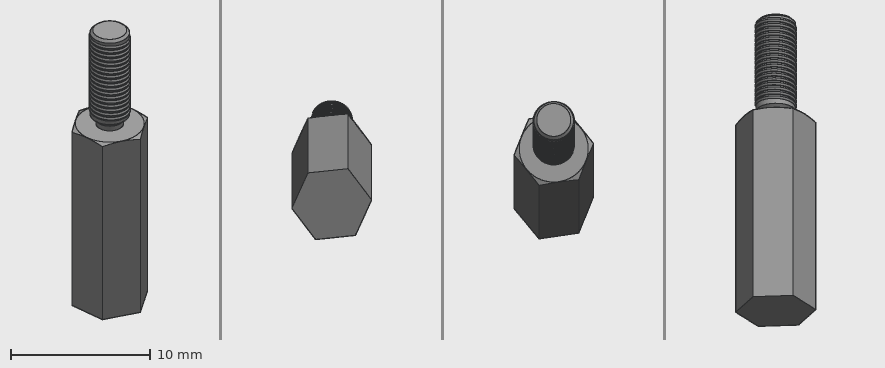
import cadquery as cq
import math

hex_sides = 6
hex_across_flats = 5.0
hex_across_corners = hex_across_flats / math.cos(math.pi / hex_sides)
hex_length = 15.0
hex_face_diameter = 4.95
hex_chamfer_angle = 20.0

stud_length = 8.0
core_radius = 1.42
neck_radius = 1.0
neck_length = 0.4
tip_chamfer = 0.2

thread_pitch = 0.36
thread_turns = 18
thread_crest_radius = 1.5
thread_offset = 1.13
thread_start_z = hex_length + thread_offset
thread_start_angle = 90.0
thread_base_width = 0.98 * thread_pitch
thread_base_depth = 0.01

overall_length = hex_length + stud_length


def hex_body():
    """Hexagonal prism whose upper corners are cut by a cone."""
    corner_radius = hex_across_corners / 2
    face_radius = hex_face_diameter / 2
    chamfer_drop = (corner_radius - face_radius) * math.tan(math.radians(hex_chamfer_angle))
    prism = cq.Workplane("XY").polygon(hex_sides, hex_across_corners).extrude(hex_length)
    envelope = (
        cq.Workplane("XZ")
        .lineTo(corner_radius, 0)
        .lineTo(corner_radius, hex_length - chamfer_drop)
        .lineTo(face_radius, hex_length)
        .lineTo(0, hex_length)
        .close()
        .revolve(360, (0, 0, 0), (0, 1, 0))
    )
    return prism.intersect(envelope)


def stud_core():
    """Round stud with a narrow neck, a 45 degree shoulder and a chamfered tip."""
    neck_top = hex_length + neck_length
    shoulder_top = neck_top + core_radius - neck_radius
    return (
        cq.Workplane("XZ")
        .moveTo(0, hex_length)
        .lineTo(neck_radius, hex_length)
        .lineTo(neck_radius, neck_top)
        .lineTo(core_radius, shoulder_top)
        .lineTo(core_radius, overall_length - tip_chamfer)
        .lineTo(core_radius - tip_chamfer, overall_length)
        .lineTo(0, overall_length)
        .close()
        .revolve(360, (0, 0, 0), (0, 1, 0))
    )


def thread_ridge():
    """Triangular ridge swept along a left-hand helix, its base sunk just below the core surface."""
    base_radius = core_radius - thread_base_depth
    half_base = thread_base_width / 2
    helix_height = thread_turns * thread_pitch
    helix = cq.Wire.makeHelix(thread_pitch, helix_height, core_radius, lefthand=True)
    ridge = (
        cq.Workplane("XZ")
        .moveTo(base_radius, -half_base)
        .lineTo(thread_crest_radius, 0)
        .lineTo(base_radius, half_base)
        .close()
        .sweep(cq.Workplane(helix), isFrenet=True)
    )
    return ridge.rotate((0, 0, 0), (0, 0, 1), thread_start_angle).translate((0, 0, thread_start_z))


body = hex_body().union(stud_core())
result = body.union(thread_ridge())